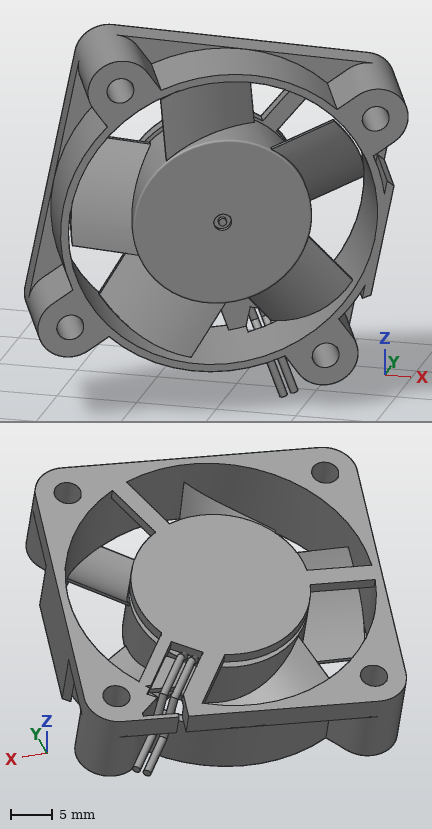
import cadquery as cq
import math

roll_angle = -10.0
tilt_angle = 96.8
yaw_angle = 23.7

frame_side = 40.0
frame_depth = 10.5
half_side = frame_side / 2
flange_depth = 3.0
bore_radius = 19.0
hole_pitch = 32.05
hole_diameter = 3.3
boss_radius = half_side - hole_pitch / 2
label_width = 14.8
label_angle = 30.0

plate_radius = 11.0
plate_depth = 1.45
strut_width = 2.25
strut_angles = (60, 180)

wire_angle = -60.0
wire_strut_width = 8.2
channel_side_low = -1.55
channel_side_high = 2.55
channel_depth = 0.7
channel_start = 11.0
floor_start = 12.8
slot_left = 7.8
slot_bottom = -19.4
slit_width = 1.2

wire_radius = 0.5
wire_offsets = (-0.7, 0.7)
wire_path = ((11.15, 1.65), (12.85, 0.1), (19.2, 0.1), (21.7, 4.95), (27.75, 4.95))

hub_radius = 11.0
hub_back = 2.45
hub_front = 10.25
hub_fillet = 0.25
pit_radius = 1.1
pit_depth = 0.5
shaft_radius = 0.5
blade_count = 5
blade_phase = 105.9
blade_tip_radius = 18.55
blade_thickness = 0.5
blade_arc = ((-5.8, 3.25), (-0.5, 7.7), (6.1, 9.85))


def make_boss(angle):
    """Corner boss on the +X diagonal, with a rib back to the ring, turned to the given angle."""
    reach = hole_pitch / math.sqrt(2)
    rib_length = reach - bore_radius
    post = cq.Workplane("XY").center(reach, 0).circle(boss_radius).extrude(frame_depth)
    rib = (
        cq.Workplane("XY")
        .center(bore_radius + rib_length / 2, 0)
        .rect(rib_length, 2 * boss_radius)
        .extrude(frame_depth)
    )
    return post.union(rib).rotate((0, 0, 0), (0, 0, 1), angle)


def make_label_block():
    """Flat-faced block on the +X side, flush with the flange, with sloping ends."""
    flare = (half_side - bore_radius) * math.tan(math.radians(label_angle))
    half_top = label_width / 2
    half_base = half_top + flare
    return (
        cq.Workplane("XY")
        .polyline(
            [
                (half_side, -half_top),
                (half_side, half_top),
                (bore_radius, half_base),
                (bore_radius, -half_base),
            ]
        )
        .close()
        .extrude(frame_depth)
    )


def make_strut(angle, width):
    length = (half_side + bore_radius) / 2
    strut = cq.Workplane("XY").center(length / 2, 0).rect(length, width).extrude(plate_depth)
    return strut.rotate((0, 0, 0), (0, 0, 1), angle)


def make_channel():
    width = channel_side_high - channel_side_low
    middle = (channel_side_high + channel_side_low) / 2
    length = half_side - channel_start
    trough = (
        cq.Workplane("XY")
        .center(channel_start + length / 2, middle)
        .rect(length, width)
        .extrude(channel_depth)
    )
    opening_length = floor_start - channel_start
    opening = (
        cq.Workplane("XY")
        .center(channel_start + opening_length / 2, middle)
        .rect(opening_length, width)
        .extrude(plate_depth)
    )
    return trough.union(opening).rotate((0, 0, 0), (0, 0, 1), wire_angle)


def make_slot():
    slot_right = 13.3
    slot_top = -14.8
    beyond = -half_side - 0.5
    return (
        cq.Workplane("XY")
        .polyline(
            [
                (slot_left, slot_top),
                (slot_left, beyond),
                (slot_left + slit_width, beyond),
                (slot_left + slit_width, slot_bottom),
                (slot_right, slot_bottom),
                (slot_right, slot_top),
            ]
        )
        .close()
        .extrude(flange_depth)
    )


def make_frame():
    flange = (
        cq.Workplane("XY").rect(frame_side, frame_side).extrude(flange_depth).edges("|Z").fillet(boss_radius)
    )
    ring = cq.Workplane("XY").circle(half_side).extrude(frame_depth)
    shell = flange.union(ring).union(make_label_block()).cut(make_slot())
    for corner in range(4):
        shell = shell.union(make_boss(45 + 90 * corner))
    holes = (
        cq.Workplane("XY")
        .rect(hole_pitch, hole_pitch, forConstruction=True)
        .vertices()
        .circle(hole_diameter / 2)
        .extrude(frame_depth)
    )
    bore = cq.Workplane("XY").circle(bore_radius).extrude(frame_depth)
    shell = shell.cut(holes).cut(bore)
    spider = cq.Workplane("XY").circle(plate_radius).extrude(plate_depth)
    for angle in strut_angles:
        spider = spider.union(make_strut(angle, strut_width))
    spider = spider.union(make_strut(wire_angle, wire_strut_width).cut(make_slot()))
    return shell.union(spider).cut(make_channel())


def make_blade(angle):
    start, middle, end = blade_arc
    chord = math.hypot(end[0] - start[0], end[1] - start[1])
    blade = (
        cq.Workplane("YZ")
        .moveTo(*start)
        .threePointArc(middle, end)
        .lineTo(end[0], end[1] - blade_thickness)
        .threePointArc((middle[0], middle[1] - blade_thickness), (start[0], start[1] - blade_thickness))
        .close()
        .extrude(blade_tip_radius + 0.5)
    )
    tips = cq.Workplane("XY").circle(blade_tip_radius).circle(hub_radius-0.5).extrude(frame_depth)
    return blade.intersect(tips).rotate((0, 0, 0), (0, 0, 1), angle)


def make_rotor():
    hub = (
        cq.Workplane("XY")
        .workplane(offset=hub_back)
        .circle(hub_radius)
        .extrude(hub_front - hub_back)
        .faces(">Z")
        .edges()
        .fillet(hub_fillet)
    )
    pit = (
        cq.Workplane("XY")
        .workplane(offset=hub_front - pit_depth)
        .circle(pit_radius)
        .circle(shaft_radius)
        .extrude(pit_depth)
    )
    rotor = hub.cut(pit)
    for i in range(blade_count):
        rotor = rotor.union(make_blade(blade_phase + i * 360 / blade_count))
    return rotor


def make_wire(offset):
    path = cq.Workplane("XZ", origin=(0, offset, 0)).polyline(wire_path)
    (r0, z0), (r1, z1) = wire_path[:2]
    start = cq.Plane(origin=(r0, offset, z0), xDir=(0, 1, 0), normal=(r1 - r0, 0, z1 - z0))
    wire = cq.Workplane(start).circle(wire_radius).sweep(path, transition="right")
    return wire.rotate((0, 0, 0), (0, 0, 1), wire_angle)


def place(body):
    for axis, angle in (((0, 0, 1), roll_angle), ((1, 0, 0), tilt_angle), ((0, 0, 1), yaw_angle)):
        body = body.rotate((0, 0, 0), axis, angle)
    return body.val()


frame = make_frame()
rotor = make_rotor()
wires = [make_wire(offset) for offset in wire_offsets]

result = cq.Compound.makeCompound([place(body) for body in (frame, rotor, *wires)])